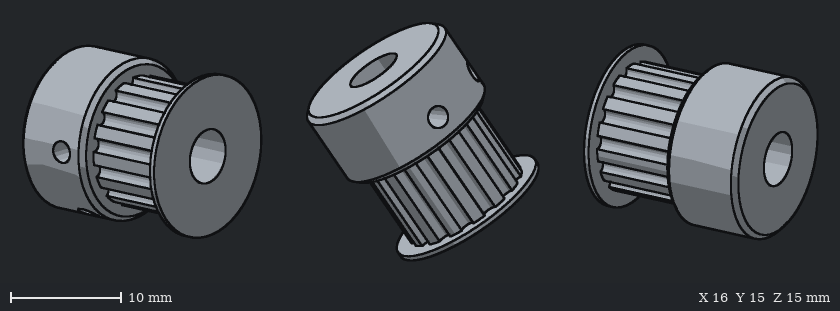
import cadquery as cq
import math

length = 16.0
outer_diameter = 15.0
bore_diameter = 5.0

hub_length = 7.5
hub_chamfer = 0.5
flange_thickness = 0.5

tooth_count = 15
tooth_diameter = 12.0
groove_radius = 0.62
groove_center_radius = 5.92
first_groove_angle = 4.5

screw_diameter = 2.0
screw_x = 5.0
screw_angles = (180, 240)


def cylinder_along_x(start, cylinder_length, diameter):
    return cq.Workplane("YZ").workplane(offset=start).circle(diameter / 2).extrude(cylinder_length)


def make_toothed_section():
    tooth_length = length - flange_thickness - hub_length
    section = cylinder_along_x(hub_length, tooth_length, tooth_diameter)
    grooves = (
        cq.Workplane("YZ")
        .workplane(offset=hub_length)
        .polarArray(groove_center_radius, first_groove_angle, 360, tooth_count)
        .circle(groove_radius)
        .extrude(tooth_length)
    )
    return section.cut(grooves)


def make_screw_hole(angle):
    """Radial hole running from the axis out through the hub wall."""
    direction = cq.Vector(0, math.cos(math.radians(angle)), math.sin(math.radians(angle)))
    hole = cq.Solid.makeCylinder(
        screw_diameter / 2, outer_diameter, cq.Vector(screw_x, 0, 0), direction
    )
    return cq.Workplane(obj=hole)


hub = cylinder_along_x(0, hub_length, outer_diameter).edges().chamfer(hub_chamfer)
flange = cylinder_along_x(length - flange_thickness, flange_thickness, outer_diameter)

result = hub.union(make_toothed_section()).union(flange)
result = result.cut(cylinder_along_x(0, length, bore_diameter))
for screw_angle in screw_angles:
    result = result.cut(make_screw_hole(screw_angle))